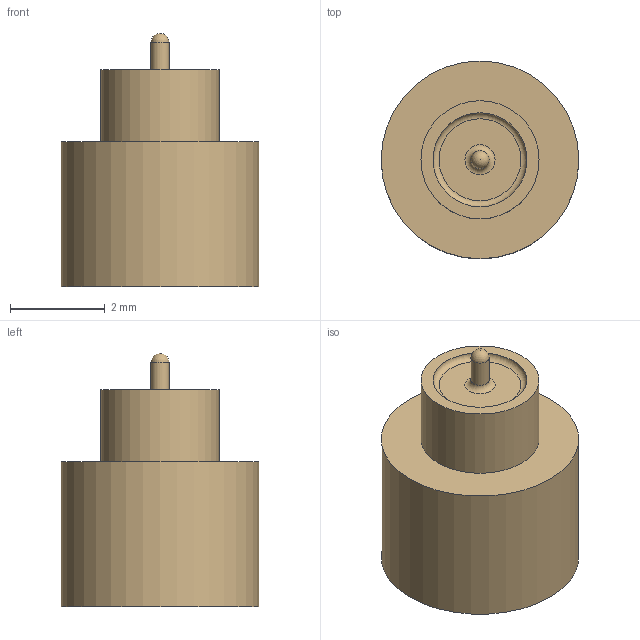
import cadquery as cq
import math

body_diameter = 4.166
body_height = 3.048
neck_diameter = 2.49
neck_height = 1.524
pin_diameter = 0.381
total_height = 5.334

recess_diameter = 1.98
meniscus_radius = 0.127
recess_depth = meniscus_radius

neck_top = body_height + neck_height
recess_floor = neck_top - recess_depth
pin_radius = pin_diameter / 2


def cylinder(diameter, bottom, top):
    """Upright cylinder on the Z axis between two heights."""
    return cq.Workplane("XY").workplane(offset=bottom).circle(diameter / 2).extrude(top - bottom)


def make_housing():
    """Wide body with the narrower neck on top."""
    body = cylinder(body_diameter, 0, body_height)
    neck = cylinder(neck_diameter, body_height, neck_top)
    return body.union(neck)


def make_recess():
    """Ring-shaped cavity around the pin whose floor curves up at both edges."""
    wall_radius = recess_diameter / 2
    diagonal = meniscus_radius * math.sin(math.radians(45))
    inner_center = pin_radius + meniscus_radius
    outer_center = wall_radius - meniscus_radius
    arc_center_height = recess_floor + meniscus_radius
    arc_middle_height = arc_center_height - diagonal
    return (
        cq.Workplane("XZ")
        .moveTo(pin_radius, neck_top)
        .threePointArc((inner_center - diagonal, arc_middle_height), (inner_center, recess_floor))
        .lineTo(outer_center, recess_floor)
        .threePointArc((outer_center + diagonal, arc_middle_height), (wall_radius, neck_top))
        .close()
        .revolve(360, (0, 0, 0), (0, 1, 0))
    )


def make_pin():
    """Centre pin with a hemispherical tip."""
    pin = cylinder(pin_diameter, recess_floor, total_height - pin_radius)
    tip = cq.Workplane("XY").sphere(pin_radius).translate((0, 0, total_height - pin_radius))
    return pin.union(tip)


result = make_housing().cut(make_recess()).union(make_pin())